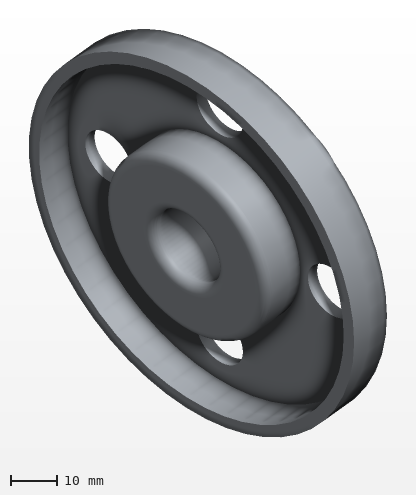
import cadquery as cq

disc_radius = 47.5
disc_thickness = 12.0
rim_inner_radius = 44.5
recess_depth = 9.0
edge_radius = 2.5

hub_radius = 23.5
hub_projection = 2.5

stem_base_radius = 11.5
stem_tip_radius = 10.9
overall_length = 38.0
stem_length = overall_length - hub_projection - disc_thickness

bore_radius = 9.3
bolt_hole_radius = 6.7
bolt_circle_radius = 32.5
bolt_hole_count = 4


def cylinder(radius, start_y, end_y):
    """Solid cylinder around the Y axis."""
    return cq.Workplane("XZ", origin=(0, start_y, 0)).circle(radius).extrude(start_y - end_y)


def make_disc():
    """Disc with a rounded back edge and a recessed front inside the rim."""
    disc = cylinder(disc_radius, 0, disc_thickness).faces(">Y").edges().fillet(edge_radius)
    return disc.cut(cylinder(rim_inner_radius, 0, recess_depth))


def make_hub():
    """Central hub with a rounded front edge, reaching into the disc web."""
    hub = cylinder(hub_radius, -hub_projection, disc_thickness)
    return hub.faces("<Y").edges().fillet(edge_radius)


def make_stem():
    """Tapered stem on the back of the disc."""
    tip_y = disc_thickness + stem_length
    profile = [
        (0, disc_thickness),
        (stem_base_radius, disc_thickness),
        (stem_tip_radius, tip_y),
        (0, tip_y),
    ]
    return cq.Workplane("XY").polyline(profile).close().revolve(360, (0, 0, 0), (0, 1, 0))


def make_bore():
    """Through bore, flared by a convex rounded mouth on the hub face."""
    front_y = -hub_projection
    back_y = disc_thickness + stem_length
    middle_offset = edge_radius * (1 - 0.5**0.5)
    return (
        cq.Workplane("XY")
        .moveTo(0, front_y)
        .lineTo(bore_radius + edge_radius, front_y)
        .threePointArc(
            (bore_radius + middle_offset, front_y + middle_offset),
            (bore_radius, front_y + edge_radius),
        )
        .lineTo(bore_radius, back_y)
        .lineTo(0, back_y)
        .close()
        .revolve(360, (0, 0, 0), (0, 1, 0))
    )


def make_bolt_holes():
    """Through holes equally spaced on the bolt circle."""
    return (
        cq.Workplane("XZ")
        .polarArray(bolt_circle_radius, 0, 360, bolt_hole_count)
        .circle(bolt_hole_radius)
        .extrude(-disc_thickness)
    )


body = make_disc().union(make_hub()).union(make_stem())
result = body.cut(make_bore()).cut(make_bolt_holes())